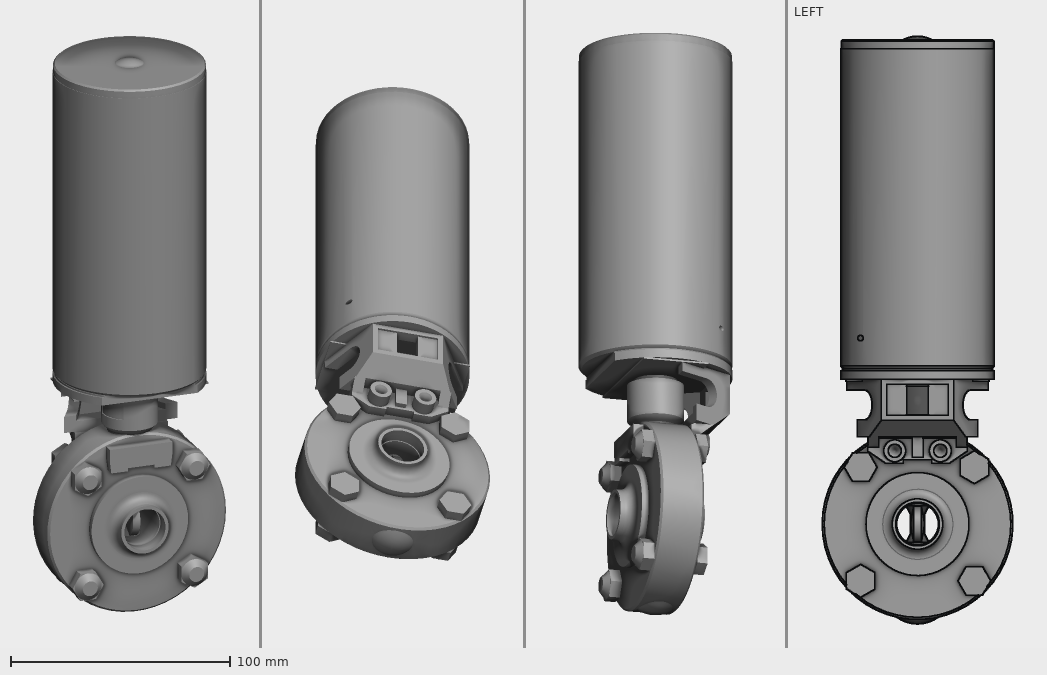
import cadquery as cq
import math


ACTUATOR_DIA = 70.18
ACTUATOR_BOTTOM_Z = 70.7
ACTUATOR_TOP_Z = 220.8
LID_HEIGHT = 4.0
LID_GROOVE = 0.2
LID_CHAMFER = 0.8
BARREL_CHAMFER = 1.4
BUTTON_RADIUS = 6.6
VENT_DIA = 2.5
VENT_Y = 26.0
VENT_Z = 84.8

FLANGE_BOTTOM_Z = 66.0
FLANGE_GROOVE = 0.8
FLANGE_FLAT_X = 26.3
PLATE_X = (-15.4, 15.4)
PLATE_WIDTH = 65.4
PLATE_THICKNESS = 0.8

OVERALL_HEIGHT = 268.05
BODY_DIA = 87.0
BODY_THICKNESS = 20.6
BODY_CHAMFER = 1.0
HUB_DIA = 47.0
HUB_X = 13.5
PIPE_DIA = 23.0
PIPE_LENGTH = 40.2
PIPE_FILLET = 4.5
BORE_DIA = 19.0
MOUTH_DIA = 20.0
MOUTH_DEPTH = 6.5
BOTTOM_Z = -45.6
CAP_RADIUS = 9.5
BUTTON_TOP_Z = BOTTOM_Z + OVERALL_HEIGHT

DISC_RIM_THICKNESS = 3.5
DISC_MID_THICKNESS = 6.6
STEM_BOSS_RADIUS = 5.2
STEM_BOSS_START_Z = 4.5
STEM_BOSS_FULL_Z = 8.3
STEM_EMBED = 1.0

NECK_DIA = 26.0
NECK_TOP_Z = 62.9
NECK_CONE_TOP_Z = 46.0
NECK_CONE_BOTTOM_Z = 43.1
NECK_RECESS_DEPTH = 0.5
NECK_RECESS_X = (-1.6, 11.0)
NECK_RECESS_BOTTOM_Z = 51.2
SPINDLE_DIA = 20.0

WALL = 5.0
FLOOR_RISE = 2.5
SPREAD_ANGLE = 30.0
FRONT_X = -30.4
FRONT_HALF_WIDTH = 16.5
BRACKET_BACK_X = -3.0
LOWER_ARM_END_X = -11.3
BRACKET_BOTTOM_Z = 39.7
SLOPE_TOP_Z = 47.3
SLOPE_ANGLE = 38.6
NOTCH_Z = 54.3
NOTCH_RADIUS = 6.7
NOTCH_END_X = -23.0
WINDOW_WIDTH = 10.0
WINDOW_BOTTOM_Z = 49.7
WINDOW_TOP_Z = 63.7
WINDOW_FRAME_WIDTH = 28.0
WINDOW_FRAME_DEPTH = 1.0

TAB_X = 15.1
TAB_TOP_Z = 39.2
TAB_SHOULDER_Z = 33.2
TAB_BOTTOM_Z = 27.7
TAB_RELIEF_HALF_WIDTH = 6.5
TAB_RELIEF_HEIGHT = 1.5
FRONT_TAB_HALF_WIDTH = 22.6
BACK_TAB_HALF_WIDTH = 15.2
TAB_BOTTOM_HALF_WIDTH = 14.5
GUSSET_WIDTH = 5.0
RIB_WIDTH = 5.0
RIB_X = -17.5
RIB_BOTTOM_Z = 30.5
SCREW_Y = 10.4
SCREW_Z = 33.4
SCREW_HEAD_DIA = 10.0
SCREW_HEAD_X = -21.4
SOCKET_DIA = 6.0
SOCKET_DEPTH = 4.0

BOLT_OFFSET = 25.9
HEX_TURN = 30.0
HEX_ACROSS_FLATS = 13.0
HEX_ACROSS_CORNERS = HEX_ACROSS_FLATS / math.cos(math.pi / 6)
HEAD_X = -15.1
NUT_X = 15.5
BOLT_TIP_X = 18.3
BOLT_TIP_DIA = 7.2


def box(x_range, y_range, z_range):
    """Axis-aligned box between the given limits."""
    (x0, x1), (y0, y1), (z0, z1) = x_range, y_range, z_range
    return cq.Workplane("XY").box(x1 - x0, y1 - y0, z1 - z0, centered=False).translate((x0, y0, z0))


def upright_cylinder(diameter, z0, z1):
    return cq.Workplane("XY").workplane(offset=z0).circle(diameter / 2).extrude(z1 - z0)


def flow_cylinder(diameter, x0, x1, y=0, z=0):
    return cq.Workplane("YZ").workplane(offset=x0).center(y, z).circle(diameter / 2).extrude(x1 - x0)


def flow_hexagon(x0, x1, y, z, turn):
    """Hexagonal prism along X; turn is its rotation in degrees."""
    prism = cq.Workplane("YZ").workplane(offset=x0).polygon(6, HEX_ACROSS_CORNERS).extrude(x1 - x0)
    return prism.rotate((0, 0, 0), (1, 0, 0), turn).translate((0, y, z))


def dome(base_radius, base_z, apex_z):
    """Spherical cap on the Z axis, from its base circle to its apex."""
    height = abs(apex_z - base_z)
    sphere_radius = (base_radius**2 + height**2) / (2 * height)
    mid_radius = base_radius / 2
    drop = sphere_radius - math.sqrt(sphere_radius**2 - mid_radius**2)
    mid_z = apex_z - math.copysign(drop, apex_z - base_z)
    profile = cq.Workplane("XZ").moveTo(0, base_z).lineTo(base_radius, base_z)
    profile = profile.threePointArc((mid_radius, mid_z), (0, apex_z)).close()
    return profile.revolve(360, (0, 0, 0), (0, 1, 0))


def make_actuator():
    lid_z = ACTUATOR_TOP_Z - LID_HEIGHT
    barrel = upright_cylinder(ACTUATOR_DIA, ACTUATOR_BOTTOM_Z, lid_z)
    barrel = barrel.faces("<Z").chamfer(BARREL_CHAMFER)
    lid = upright_cylinder(ACTUATOR_DIA - 2 * LID_GROOVE, lid_z, ACTUATOR_TOP_Z)
    lid = lid.faces(">Z").chamfer(LID_CHAMFER)
    button = dome(BUTTON_RADIUS, ACTUATOR_TOP_Z, BUTTON_TOP_Z)
    vent = flow_cylinder(VENT_DIA, -ACTUATOR_DIA / 2, -ACTUATOR_DIA / 4, VENT_Y, VENT_Z)
    return barrel.union(lid).union(button).cut(vent)


def make_flange():
    groove_z = ACTUATOR_BOTTOM_Z - FLANGE_GROOVE
    flange = upright_cylinder(ACTUATOR_DIA, FLANGE_BOTTOM_Z, groove_z)
    flange = flange.union(upright_cylinder(ACTUATOR_DIA - 2 * FLANGE_GROOVE, groove_z, ACTUATOR_BOTTOM_Z))
    beyond_flat = box(
        (FLANGE_FLAT_X, ACTUATOR_DIA),
        (-ACTUATOR_DIA, ACTUATOR_DIA),
        (FLANGE_BOTTOM_Z, ACTUATOR_BOTTOM_Z),
    )
    plate = box(
        PLATE_X,
        (-PLATE_WIDTH / 2, PLATE_WIDTH / 2),
        (FLANGE_BOTTOM_Z - PLATE_THICKNESS, FLANGE_BOTTOM_Z),
    )
    return flange.cut(beyond_flat).union(plate)


def make_hub_half():
    """Stepped hub and pipe stub on the +X half, with a concave sweep between them."""
    pipe_radius = PIPE_DIA / 2
    sweep = PIPE_FILLET * (1 - math.sqrt(0.5))
    profile = (
        cq.Workplane("XY")
        .lineTo(0, HUB_DIA / 2)
        .lineTo(HUB_X, HUB_DIA / 2)
        .lineTo(HUB_X, pipe_radius + PIPE_FILLET)
        .threePointArc(
            (HUB_X + sweep, pipe_radius + sweep),
            (HUB_X + PIPE_FILLET, pipe_radius),
        )
        .lineTo(PIPE_LENGTH / 2, pipe_radius)
        .lineTo(PIPE_LENGTH / 2, 0)
        .close()
    )
    return profile.revolve(360, (0, 0, 0), (1, 0, 0))


def make_body():
    body = flow_cylinder(BODY_DIA, -BODY_THICKNESS / 2, BODY_THICKNESS / 2)
    body = body.faces("<X or >X").chamfer(BODY_CHAMFER)
    hub = make_hub_half()
    body = body.union(hub).union(hub.mirror("YZ"))
    cap_base_z = -math.sqrt((BODY_DIA / 2) ** 2 - CAP_RADIUS**2)
    body = body.union(dome(CAP_RADIUS, cap_base_z, BOTTOM_Z))
    pipe_end = PIPE_LENGTH / 2
    body = body.cut(flow_cylinder(BORE_DIA, -pipe_end, pipe_end))
    body = body.cut(flow_cylinder(MOUTH_DIA, -pipe_end, MOUTH_DEPTH - pipe_end))
    return body.cut(flow_cylinder(MOUTH_DIA, pipe_end - MOUTH_DEPTH, pipe_end))


def make_closing_disc():
    """Disc in the open position, thicker at the middle, with a stem that flares into a boss at each end."""
    radius = BORE_DIA / 2
    rim = DISC_RIM_THICKNESS / 2
    mid = DISC_MID_THICKNESS / 2
    boss_end_z = radius + STEM_EMBED
    profile = (
        cq.Workplane("XY")
        .moveTo(0, -mid)
        .lineTo(radius, -rim)
        .lineTo(radius, rim)
        .lineTo(0, mid)
        .close()
    )
    disc = profile.revolve(360, (0, 0, 0), (0, 1, 0))
    boss_profile = (
        cq.Workplane("XZ")
        .lineTo(mid, 0)
        .lineTo(mid, STEM_BOSS_START_Z)
        .lineTo(STEM_BOSS_RADIUS, STEM_BOSS_FULL_Z)
        .lineTo(STEM_BOSS_RADIUS, boss_end_z)
        .lineTo(0, boss_end_z)
        .close()
    )
    boss = boss_profile.revolve(360, (0, 0, 0), (0, 1, 0))
    return disc.union(boss).union(boss.mirror("XY"))


def make_neck():
    radius = NECK_DIA / 2
    foot_radius = BODY_THICKNESS / 2
    profile = (
        cq.Workplane("XZ")
        .moveTo(0, TAB_TOP_Z)
        .lineTo(foot_radius, TAB_TOP_Z)
        .lineTo(foot_radius, NECK_CONE_BOTTOM_Z)
        .lineTo(radius, NECK_CONE_TOP_Z)
        .lineTo(radius, NECK_TOP_Z)
        .lineTo(0, NECK_TOP_Z)
        .close()
    )
    neck = profile.revolve(360, (0, 0, 0), (0, 1, 0))
    recess = box(NECK_RECESS_X, (-radius, 0), (NECK_RECESS_BOTTOM_Z, NECK_TOP_Z))
    core = upright_cylinder(NECK_DIA - 2 * NECK_RECESS_DEPTH, NECK_RECESS_BOTTOM_Z, NECK_TOP_Z)
    spindle = upright_cylinder(SPINDLE_DIA, NECK_TOP_Z, FLANGE_BOTTOM_Z)
    return neck.cut(recess.cut(core)).union(spindle)


def spread_prism(front_x, front_half_width, back_x):
    """Trapezoid in plan, widening towards +X at the spread angle, over the bracket height."""
    back_half_width = front_half_width + (back_x - front_x) * math.tan(math.radians(SPREAD_ANGLE))
    outline = [
        (front_x, -front_half_width),
        (back_x, -back_half_width),
        (back_x, back_half_width),
        (front_x, front_half_width),
    ]
    plan = cq.Workplane("XY").workplane(offset=BRACKET_BOTTOM_Z).polyline(outline).close()
    return plan.extrude(FLANGE_BOTTOM_Z - BRACKET_BOTTOM_Z)


def sloped_side_prism(front_x, slope_top_z, bottom_z):
    """Side outline with a vertical front and a sloping underside, extruded along Y."""
    slope_run = (slope_top_z - bottom_z) / math.tan(math.radians(SLOPE_ANGLE))
    outline = [
        (front_x, FLANGE_BOTTOM_Z),
        (front_x, slope_top_z),
        (front_x + slope_run, bottom_z),
        (0, bottom_z),
        (0, FLANGE_BOTTOM_Z),
    ]
    return cq.Workplane("XZ").polyline(outline).close().extrude(PLATE_WIDTH, both=True)


def make_notch(side):
    """Round-ended notch through a side wall, square to it and open towards +X; side is 1 or -1."""
    spread = math.radians(SPREAD_ANGLE)
    end_y = FRONT_HALF_WIDTH + (NOTCH_END_X - FRONT_X) * math.tan(spread)
    length = 2 * PLATE_WIDTH
    cutter = cq.Workplane("XZ").center(NOTCH_RADIUS + length / 2, 0)
    cutter = cutter.slot2D(length + 2 * NOTCH_RADIUS, 2 * NOTCH_RADIUS).extrude(2 * WALL, both=True)
    cutter = cutter.rotate((0, 0, 0), (0, 0, 1), side * SPREAD_ANGLE)
    return cutter.translate((NOTCH_END_X, side * end_y, NOTCH_Z))


def make_bracket():
    spread = math.radians(SPREAD_ANGLE)
    outer = spread_prism(FRONT_X, FRONT_HALF_WIDTH, BRACKET_BACK_X)
    outer = outer.intersect(sloped_side_prism(FRONT_X, SLOPE_TOP_Z, BRACKET_BOTTOM_Z))
    inner_x = FRONT_X + WALL
    side_wall_width = WALL / math.cos(spread)
    inner_half_width = FRONT_HALF_WIDTH + WALL * math.tan(spread) - side_wall_width
    cavity = spread_prism(inner_x, inner_half_width, BRACKET_BACK_X)
    cavity = cavity.intersect(sloped_side_prism(inner_x, SLOPE_TOP_Z + FLOOR_RISE, BRACKET_BOTTOM_Z + WALL))
    bracket = outer.cut(cavity)
    for side in (1, -1):
        bracket = bracket.cut(make_notch(side))
    whole_width = (-PLATE_WIDTH, PLATE_WIDTH)
    bracket = bracket.cut(box((LOWER_ARM_END_X, 0), whole_width, (BRACKET_BOTTOM_Z, NOTCH_Z)))
    window_heights = (WINDOW_BOTTOM_Z, WINDOW_TOP_Z)
    half_window = WINDOW_WIDTH / 2
    half_frame = WINDOW_FRAME_WIDTH / 2
    bracket = bracket.cut(box((FRONT_X, inner_x), (-half_window, half_window), window_heights))
    frame = box((FRONT_X, FRONT_X + WINDOW_FRAME_DEPTH), (-half_frame, half_frame), window_heights)
    return bracket.cut(frame)


def make_gusset(y_start, width):
    """Sloped web that carries the underside of the bracket down to the front tab."""
    slope = math.tan(math.radians(SLOPE_ANGLE))
    slope_start_x = FRONT_X + (SLOPE_TOP_Z - BRACKET_BOTTOM_Z) / slope
    tab_z = SLOPE_TOP_Z - (-TAB_X - FRONT_X) * slope
    outline = [
        (slope_start_x, BRACKET_BOTTOM_Z),
        (-TAB_X, tab_z),
        (LOWER_ARM_END_X, tab_z),
        (LOWER_ARM_END_X, BRACKET_BOTTOM_Z),
    ]
    return cq.Workplane("XZ", origin=(0, y_start, 0)).polyline(outline).close().extrude(-width)


def make_tab(half_width, x_start, x_end):
    """Plate with sloping lower corners and a relief in the middle of its lower edge."""
    outline = [
        (-half_width, TAB_TOP_Z),
        (-half_width, TAB_SHOULDER_Z),
        (-TAB_BOTTOM_HALF_WIDTH, TAB_BOTTOM_Z),
        (TAB_BOTTOM_HALF_WIDTH, TAB_BOTTOM_Z),
        (half_width, TAB_SHOULDER_Z),
        (half_width, TAB_TOP_Z),
    ]
    plate = cq.Workplane("YZ").workplane(offset=x_start).polyline(outline).close().extrude(x_end - x_start)
    relief_width = (-TAB_RELIEF_HALF_WIDTH, TAB_RELIEF_HALF_WIDTH)
    relief_heights = (TAB_BOTTOM_Z, TAB_BOTTOM_Z + TAB_RELIEF_HEIGHT)
    return plate.cut(box((x_start, x_end), relief_width, relief_heights))


def make_tabs():
    face_x = BODY_THICKNESS / 2
    tabs = make_tab(FRONT_TAB_HALF_WIDTH, -TAB_X, -face_x)
    tabs = tabs.union(make_tab(BACK_TAB_HALF_WIDTH, face_x, TAB_X))
    tabs = tabs.union(make_gusset(-FRONT_TAB_HALF_WIDTH, GUSSET_WIDTH))
    tabs = tabs.union(make_gusset(FRONT_TAB_HALF_WIDTH - GUSSET_WIDTH, GUSSET_WIDTH))
    rib = box((RIB_X, -TAB_X), (-RIB_WIDTH / 2, RIB_WIDTH / 2), (RIB_BOTTOM_Z, BRACKET_BOTTOM_Z))
    tabs = tabs.union(rib)
    for y in (-SCREW_Y, SCREW_Y):
        tabs = tabs.union(flow_cylinder(SCREW_HEAD_DIA, SCREW_HEAD_X, -TAB_X, y, SCREW_Z))
        socket_centre = cq.Vector(SCREW_HEAD_X, y, SCREW_Z)
        socket = cq.Solid.makeCone(SOCKET_DIA / 2, 0, SOCKET_DEPTH, socket_centre, cq.Vector(1, 0, 0))
        tabs = tabs.cut(cq.Workplane(socket))
    return tabs


def make_bolt(y, z, turn):
    """Hexagon head on -X, nut on +X and a tapered bolt end beyond the nut."""
    face_x = BODY_THICKNESS / 2
    head = flow_hexagon(HEAD_X, -face_x, y, z, turn)
    nut = flow_hexagon(face_x, NUT_X, y, z, turn)
    tip = cq.Workplane("YZ").workplane(offset=NUT_X).center(y, z).circle(HEX_ACROSS_FLATS / 2)
    tip = tip.workplane(offset=BOLT_TIP_X - NUT_X).circle(BOLT_TIP_DIA / 2).loft()
    return head.union(nut).union(tip)


result = make_body().union(make_tabs()).union(make_closing_disc())
result = result.union(make_neck()).union(make_bracket())
result = result.union(make_flange()).union(make_actuator())
for bolt_y in (-BOLT_OFFSET, BOLT_OFFSET):
    for bolt_z in (-BOLT_OFFSET, BOLT_OFFSET):
        hex_turn = HEX_TURN if bolt_y * bolt_z < 0 else 0
        result = result.union(make_bolt(bolt_y, bolt_z, hex_turn))